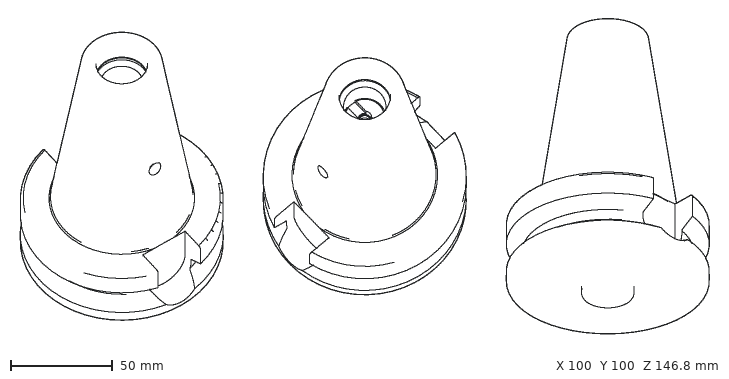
import cadquery as cq
import math

TOTAL_HEIGHT = 146.8
TOLERANCE = 0.001

POST_RADIUS = 12.9
POST_FILLET = 1.9
FLANGE_DIAMETER = 100.0
FLANGE_BOTTOM = 7.0
FLANGE_TOP = 42.0
FLANGE_FILLET = 1.5

GROOVE_ROOT_RADIUS = 42.4
GROOVE_CENTRE_Z = 21.7
GROOVE_ROOT_WIDTH = 6.6
GROOVE_FLANK_ANGLE = 30.0
GROOVE_ROOT_FILLET = 0.9

TAPER_RATIO = 7 / 24
TAPER_BASE_RADIUS = 35.1
TAPER_BASE_Z = 43.9
TIP_FILLET = 0.9
NECK_FILLET = 0.7

SLOT_WIDTH = 25.7
SLOT_FLOOR_X = 35.4
SLOT_BOTTOM_Z = 10.7

BORE_RADIUS = 12.6
BORE_FILLET = 0.9
BORE_DEPTH = 10.7
RELIEF_RADIUS = 13.0
RELIEF_FLARE_HEIGHT = 1.2
RELIEF_HEIGHT = 2.6
SEAT_HEIGHT = 1.8
PLUG_HOLE_RADIUS = 10.4

SIDE_HOLE_RADIUS = 3.5
SIDE_HOLE_Z = 92.3
SIDE_HOLE_DEPTH = 5.0

PLUG_TOP_Z = 117.5
PLUG_LENGTH = 14.7
PLUG_CHAMFER = 0.7
PLUG_SLOT_WIDTH = 5.3
PLUG_SLOT_DEPTH = 3.0
SOCKET_MOUTH_RADIUS = 3.4
SOCKET_MOUTH_DEPTH = 1.5
SOCKET_RADIUS = 2.8
SOCKET_DEPTH = 4.4
SOCKET_FLOOR_RADIUS = 1.8

FLANGE_RADIUS = FLANGE_DIAMETER / 2
TIP_RADIUS = TAPER_BASE_RADIUS - (TOTAL_HEIGHT - TAPER_BASE_Z) * TAPER_RATIO / 2
FLANK_HEIGHT = (FLANGE_RADIUS - GROOVE_ROOT_RADIUS) * math.tan(math.radians(GROOVE_FLANK_ANGLE))
GROOVE_ROOT_BOTTOM = GROOVE_CENTRE_Z - GROOVE_ROOT_WIDTH / 2
GROOVE_ROOT_TOP = GROOVE_CENTRE_Z + GROOVE_ROOT_WIDTH / 2
PLUG_BOTTOM_Z = PLUG_TOP_Z - PLUG_LENGTH


def revolve_profile(points):
    """Solid of revolution about Z from a closed outline of (radius, z) points."""
    return cq.Workplane("XZ").polyline(points).close().revolve(360, (0, 0), (0, 1))


class CircleSelector(cq.Selector):
    """Picks the full circular edges of one radius at one height."""

    def __init__(self, z, radius):
        self.z = z
        self.radius = radius

    def filter(self, edges):
        return [
            edge for edge in edges
            if edge.geomType() == "CIRCLE"
            and abs(edge.Center().z - self.z) < TOLERANCE
            and abs(edge.radius() - self.radius) < TOLERANCE
        ]


def flange_and_post():
    """Flange with its V-shaped gripper groove, on the short post below it."""
    body = revolve_profile([
        (0, 0),
        (POST_RADIUS, 0),
        (POST_RADIUS, FLANGE_BOTTOM),
        (FLANGE_RADIUS, FLANGE_BOTTOM),
        (FLANGE_RADIUS, GROOVE_ROOT_BOTTOM - FLANK_HEIGHT),
        (GROOVE_ROOT_RADIUS, GROOVE_ROOT_BOTTOM),
        (GROOVE_ROOT_RADIUS, GROOVE_ROOT_TOP),
        (FLANGE_RADIUS, GROOVE_ROOT_TOP + FLANK_HEIGHT),
        (FLANGE_RADIUS, FLANGE_TOP),
        (0, FLANGE_TOP),
    ])
    for z, radius, fillet in (
        (0, POST_RADIUS, POST_FILLET),
        (FLANGE_BOTTOM, POST_RADIUS, POST_FILLET),
        (FLANGE_BOTTOM, FLANGE_RADIUS, FLANGE_FILLET),
        (FLANGE_TOP, FLANGE_RADIUS, FLANGE_FILLET),
        (GROOVE_ROOT_BOTTOM, GROOVE_ROOT_RADIUS, GROOVE_ROOT_FILLET),
        (GROOVE_ROOT_TOP, GROOVE_ROOT_RADIUS, GROOVE_ROOT_FILLET),
    ):
        body = body.edges(CircleSelector(z, radius)).fillet(fillet)
    return body


def taper():
    """Taper shank with the short cylindrical neck that joins it to the flange."""
    shank = revolve_profile([
        (0, FLANGE_TOP),
        (TAPER_BASE_RADIUS, FLANGE_TOP),
        (TAPER_BASE_RADIUS, TAPER_BASE_Z),
        (TIP_RADIUS, TOTAL_HEIGHT),
        (0, TOTAL_HEIGHT),
    ])
    return shank.faces(">Z").edges().fillet(TIP_FILLET)


def drive_slot(side):
    """Round-bottomed slot cutter on one side of the flange; side is +1 or -1."""
    radius = SLOT_WIDTH / 2
    arc_z = SLOT_BOTTOM_Z + radius
    cutter = (
        cq.Workplane("YZ", origin=(SLOT_FLOOR_X, 0, 0))
        .moveTo(-radius, TAPER_BASE_Z)
        .lineTo(-radius, arc_z)
        .threePointArc((0, SLOT_BOTTOM_Z), (radius, arc_z))
        .lineTo(radius, TAPER_BASE_Z)
        .close()
        .extrude(FLANGE_RADIUS - SLOT_FLOOR_X)
    )
    return cutter if side > 0 else cutter.mirror("YZ")


def stepped_bore():
    """Bore, wider relief, conical seat and the plug hole below it."""
    relief_top = TOTAL_HEIGHT - BORE_DEPTH
    seat_top = relief_top - RELIEF_HEIGHT
    return revolve_profile([
        (0, TOTAL_HEIGHT),
        (BORE_RADIUS, TOTAL_HEIGHT),
        (BORE_RADIUS, relief_top),
        (RELIEF_RADIUS, relief_top - RELIEF_FLARE_HEIGHT),
        (RELIEF_RADIUS, seat_top),
        (PLUG_HOLE_RADIUS, seat_top - SEAT_HEIGHT),
        (PLUG_HOLE_RADIUS, PLUG_BOTTOM_Z),
        (0, PLUG_BOTTOM_Z),
    ])


def side_hole():
    """Blind hole drilled along -X into the taper."""
    surface_x = TAPER_BASE_RADIUS - (SIDE_HOLE_Z - TAPER_BASE_Z) * TAPER_RATIO / 2
    return (
        cq.Workplane("YZ", origin=(surface_x - SIDE_HOLE_DEPTH, 0, SIDE_HOLE_Z))
        .circle(SIDE_HOLE_RADIUS)
        .extrude(2 * SIDE_HOLE_DEPTH)
    )


def make_holder():
    """Tool holder: post, flange, neck and taper, with its slots and holes cut."""
    body = flange_and_post().union(taper())
    body = body.edges(CircleSelector(FLANGE_TOP, TAPER_BASE_RADIUS)).fillet(NECK_FILLET)
    for side in (-1, 1):
        body = body.cut(drive_slot(side))
    body = body.cut(stepped_bore()).cut(side_hole())
    return body.edges(CircleSelector(TOTAL_HEIGHT, BORE_RADIUS)).fillet(BORE_FILLET)


def make_plug():
    """Chamfered plug with a screwdriver slot along Y and a stepped blind socket with a conical end."""
    body = (
        cq.Workplane("XY", origin=(0, 0, PLUG_BOTTOM_Z))
        .circle(PLUG_HOLE_RADIUS)
        .extrude(PLUG_LENGTH)
        .faces(">Z").edges().chamfer(PLUG_CHAMFER)
    )
    slot_floor = PLUG_TOP_Z - PLUG_SLOT_DEPTH
    slot = (
        cq.Workplane("XY", origin=(0, 0, slot_floor))
        .rect(PLUG_SLOT_WIDTH, 2 * PLUG_HOLE_RADIUS)
        .extrude(PLUG_SLOT_DEPTH)
    )
    cone_top = slot_floor - SOCKET_DEPTH
    cone_bottom = cone_top - (SOCKET_RADIUS - SOCKET_FLOOR_RADIUS)
    socket = revolve_profile([
        (0, PLUG_TOP_Z),
        (SOCKET_MOUTH_RADIUS, PLUG_TOP_Z),
        (SOCKET_MOUTH_RADIUS, slot_floor - SOCKET_MOUTH_DEPTH),
        (SOCKET_RADIUS, slot_floor - SOCKET_MOUTH_DEPTH),
        (SOCKET_RADIUS, cone_top),
        (SOCKET_FLOOR_RADIUS, cone_bottom),
        (0, cone_bottom),
    ])
    return body.cut(slot).cut(socket)


holder = make_holder().solids()
plug = make_plug().solids()
result = cq.Compound.makeCompound([holder.val(), plug.val()])